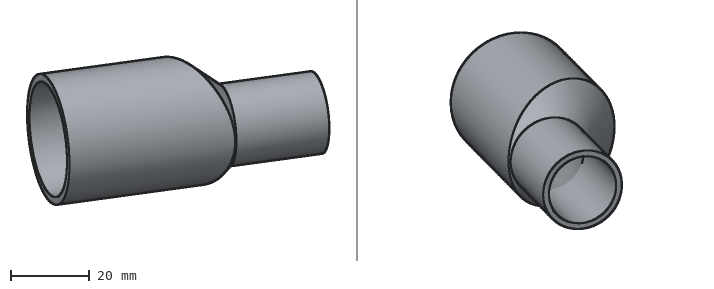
import cadquery as cq

total_length = 70.0
large_outer_diameter = 33.7
large_bore_diameter = 29.7
small_outer_diameter = 21.3
small_bore_diameter = 18.1
small_tube_length = 25.0
shoulder_length = 14.9
axis_offset = 5.8
large_bore_depth = 9.8

shoulder_end = total_length - small_tube_length
widest_step = large_outer_diameter / 2 + axis_offset - small_outer_diameter / 2
cone_slope = widest_step / shoulder_length


def cylinder_along_y(diameter, length, x=0):
    """Cylinder from Y = 0 to Y = length, with its axis at the given X."""
    return cq.Workplane("XZ").center(x, 0).circle(diameter / 2).extrude(-length)


def cone_on_small_axis(end_diameter):
    """Cone around the small tube's axis, narrowing to end_diameter at the shoulder end."""
    end_radius = end_diameter / 2
    base_radius = end_radius + cone_slope * shoulder_end
    profile = [(0, 0), (base_radius, 0), (end_radius, shoulder_end), (0, shoulder_end)]
    cone = cq.Workplane("XY").polyline(profile).close().revolve(360, (0, 0, 0), (0, 1, 0))
    return cone.translate((axis_offset, 0, 0))


def outer_body():
    """Large cylinder trimmed by the cone, joined to the small cylinder."""
    large_end = cylinder_along_y(large_outer_diameter, shoulder_end)
    large_end = large_end.intersect(cone_on_small_axis(small_outer_diameter))
    small_end = cylinder_along_y(small_outer_diameter, total_length, axis_offset)
    return large_end.union(small_end)


def tapered_bore():
    """Slanted passage from the end of the large bore to the start of the small bore."""
    return (
        cq.Workplane("XZ", origin=(0, large_bore_depth, 0))
        .circle(large_bore_diameter / 2)
        .workplane(offset=large_bore_depth - shoulder_end)
        .center(axis_offset, 0)
        .circle(small_bore_diameter / 2)
        .loft(ruled=True)
    )


large_bore = cylinder_along_y(large_bore_diameter, large_bore_depth)
small_bore = cylinder_along_y(small_bore_diameter, small_tube_length, axis_offset)
small_bore = small_bore.translate((0, shoulder_end, 0))
result = outer_body().cut(large_bore).cut(tapered_bore()).cut(small_bore)